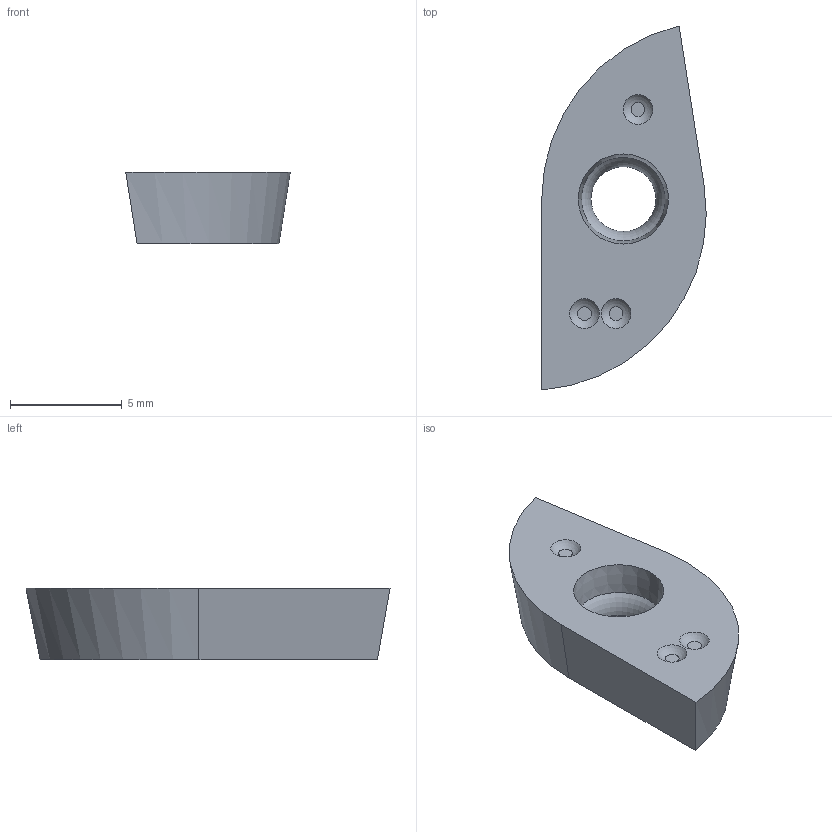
import cadquery as cq
import math

thickness = 3.18
wall_draft = 9.0
lobe_radius = 7.9375
width = 7.35
left_edge_x = -3.65
flank_tilt = 8.9
left_lobe_y = 0.0
right_lobe_y = -0.62

bore_diameter = 2.9
hole_mouth_diameter = 4.03
seat_diameter = 3.75
seat_depth = 1.42
bore_depth = 2.37

pocket_diameter = 1.33
pocket_floor_diameter = 0.62
pocket_depth = 0.27
pocket_pair_y = -5.12
pocket_centers = [(-1.74, pocket_pair_y), (-0.33, pocket_pair_y), (0.65, 4.0)]

left_lobe = cq.Vector(left_edge_x + lobe_radius, left_lobe_y)
right_lobe = cq.Vector(left_edge_x + width - lobe_radius, right_lobe_y)
tilt = math.radians(flank_tilt)
left_normal = cq.Vector(-1, 0)
right_normal = cq.Vector(math.cos(tilt), math.sin(tilt))


def corner(flank_lobe, flank_normal, other_lobe, radius):
    """Tip where the flank tangent to one lobe meets the arc of the other lobe."""
    along_flank = cq.Vector(-flank_normal.y, flank_normal.x)
    offset = (flank_lobe - other_lobe).dot(flank_normal) + radius
    reach = math.sqrt(radius**2 - offset**2)
    return other_lobe + flank_normal * offset + along_flank * reach


def arc_middle(start, end, center, radius):
    """Point halfway along the short arc from start to end."""
    outward = (start + end) * 0.5 - center
    return center + outward.normalized() * radius


def outline(inset, z):
    """Closed body outline moved inward by inset, at height z."""
    radius = lobe_radius - inset
    left_tangent = left_lobe + left_normal * radius
    right_tangent = right_lobe + right_normal * radius
    top_tip = corner(right_lobe, right_normal, left_lobe, radius)
    bottom_tip = corner(left_lobe, left_normal, right_lobe, radius)
    left_middle = arc_middle(left_tangent, top_tip, left_lobe, radius)
    right_middle = arc_middle(right_tangent, bottom_tip, right_lobe, radius)
    lift = cq.Vector(0, 0, z)
    edges = [
        cq.Edge.makeLine(bottom_tip + lift, left_tangent + lift),
        cq.Edge.makeThreePointArc(left_tangent + lift, left_middle + lift, top_tip + lift),
        cq.Edge.makeLine(top_tip + lift, right_tangent + lift),
        cq.Edge.makeThreePointArc(right_tangent + lift, right_middle + lift, bottom_tip + lift),
    ]
    return cq.Wire.assembleEdges(edges)


def make_body():
    bottom_inset = thickness * math.tan(math.radians(wall_draft))
    wires = [outline(bottom_inset, -thickness), outline(0, 0)]
    return cq.Workplane(obj=cq.Solid.makeLoft(wires, True))


def make_screw_hole():
    """Tapered mouth, convex seat that runs tangent into the bore, then the bore."""
    bore_radius = bore_diameter / 2
    seat_radius = seat_diameter / 2
    seat_width = seat_radius - bore_radius
    seat_height = bore_depth - seat_depth
    round_radius = (seat_width**2 + seat_height**2) / (2 * seat_width)
    half_angle = math.asin(seat_height / round_radius) / 2
    seat_middle = (
        bore_radius + round_radius * (1 - math.cos(half_angle)),
        -bore_depth + round_radius * math.sin(half_angle),
    )
    return (
        cq.Workplane("XZ")
        .moveTo(0, 0)
        .lineTo(hole_mouth_diameter / 2, 0)
        .lineTo(seat_radius, -seat_depth)
        .threePointArc(seat_middle, (bore_radius, -bore_depth))
        .lineTo(bore_radius, -thickness)
        .lineTo(0, -thickness)
        .close()
        .revolve(360, (0, 0, 0), (0, 1, 0))
    )


def make_pocket(center):
    """Spherical dish with a flat round floor."""
    rim_radius = pocket_diameter / 2
    floor_radius = pocket_floor_diameter / 2
    sphere_height = (rim_radius**2 - floor_radius**2 - pocket_depth**2) / (2 * pocket_depth)
    sphere_radius = math.hypot(rim_radius, sphere_height)
    middle_radius = (rim_radius + floor_radius) / 2
    middle_z = sphere_height - math.sqrt(sphere_radius**2 - middle_radius**2)
    return (
        cq.Workplane("XZ")
        .moveTo(0, 0)
        .lineTo(rim_radius, 0)
        .threePointArc((middle_radius, middle_z), (floor_radius, -pocket_depth))
        .lineTo(0, -pocket_depth)
        .close()
        .revolve(360, (0, 0, 0), (0, 1, 0))
        .translate((*center, 0))
    )


result = make_body().cut(make_screw_hole())
for pocket_center in pocket_centers:
    result = result.cut(make_pocket(pocket_center))